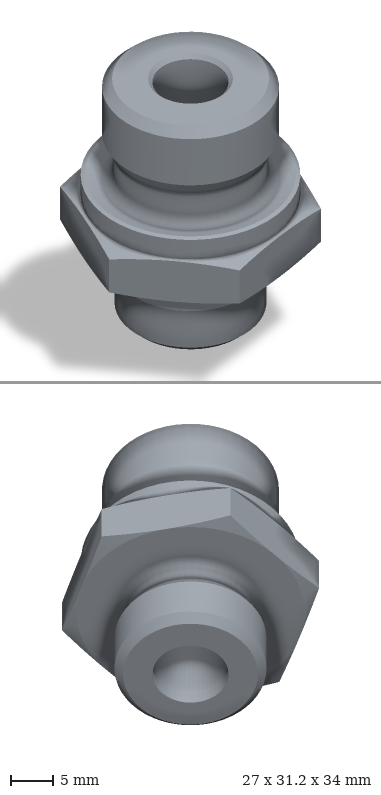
import cadquery as cq
import math

total_height = 34.0
hex_bottom = 11.0
hex_top = 17.0
collar_top = 20.0

hex_across_flats = 27.0
hex_across_corners = hex_across_flats / math.cos(math.radians(30))
hex_chamfer_angle = 15.0

collar_radius = 26.0 / 2
rim_radius = 25.0 / 2
rim_slope = 15.0

upper_thread_radius = 20.95 / 2
upper_groove_radius = 18.4 / 2
upper_chamfer = 1.2
upper_thread_bottom = 26.0

lower_thread_radius = 18.0 / 2
lower_groove_radius = 15.7 / 2
lower_chamfer = 1.02
lower_thread_top = 6.4

runout_angle = 30.0
runout_blend = 1.0
upper_fillet = 1.33
lower_fillet = 1.0

bore_radius = 9.0 / 2
bore_chamfer = 0.5


def runout_length(thread_radius, groove_radius):
    """Axial length of the cone between a thread and its groove."""
    return (thread_radius - groove_radius) / math.tan(math.radians(runout_angle))


def edge_circle(radius, z):
    """Selector for the circular edge of the given radius at height z."""
    margin = 0.05
    reach = radius + margin
    return cq.selectors.BoxSelector(
        (-reach, -reach, z - margin), (reach, reach, z + margin), boundingbox=True
    )


def make_turned_body():
    """Revolve both threaded ends and the collar as one solid profile."""
    lower_cone_top = lower_thread_top + runout_length(lower_thread_radius, lower_groove_radius)
    upper_cone_bottom = upper_thread_bottom - runout_length(upper_thread_radius, upper_groove_radius)
    slope = math.tan(math.radians(rim_slope))
    face_inner_radius = upper_groove_radius + upper_fillet
    face_inner_z = collar_top - (rim_radius - face_inner_radius) * slope
    collar_edge_z = collar_top - (collar_radius - rim_radius) * slope
    arc_share = 1 - math.sqrt(0.5)
    lower_middle = lower_fillet * arc_share
    upper_middle = upper_fillet * arc_share
    profile = (
        cq.Workplane("XZ")
        .moveTo(0, 0)
        .lineTo(lower_thread_radius - lower_chamfer, 0)
        .lineTo(lower_thread_radius, lower_chamfer)
        .lineTo(lower_thread_radius, lower_thread_top)
        .lineTo(lower_groove_radius, lower_cone_top)
        .lineTo(lower_groove_radius, hex_bottom - lower_fillet)
        .threePointArc(
            (lower_groove_radius + lower_middle, hex_bottom - lower_middle),
            (lower_groove_radius + lower_fillet, hex_bottom),
        )
        .lineTo(collar_radius, hex_bottom)
        .lineTo(collar_radius, collar_edge_z)
        .lineTo(rim_radius, collar_top)
        .lineTo(face_inner_radius, face_inner_z)
        .threePointArc(
            (upper_groove_radius + upper_middle, face_inner_z + upper_middle),
            (upper_groove_radius, face_inner_z + upper_fillet),
        )
        .lineTo(upper_groove_radius, upper_cone_bottom)
        .lineTo(upper_thread_radius, upper_thread_bottom)
        .lineTo(upper_thread_radius, total_height - upper_chamfer)
        .lineTo(upper_thread_radius - upper_chamfer, total_height)
        .lineTo(0, total_height)
        .close()
    )
    body = profile.revolve(360, (0, 0), (0, 1))
    for radius, z in ((lower_groove_radius, lower_cone_top), (upper_groove_radius, upper_cone_bottom)):
        body = body.edges(edge_circle(radius, z)).fillet(runout_blend)
    return body


def make_hexagon():
    """Hexagonal prism with its corners turned conical at both ends."""
    prism = (
        cq.Workplane("XY")
        .workplane(offset=hex_bottom)
        .polygon(6, hex_across_corners)
        .extrude(hex_top - hex_bottom)
        .rotate((0, 0, 0), (0, 0, 1), 30)
    )
    flat_radius = hex_across_flats / 2
    outer_radius = hex_across_corners / 2 + 0.35
    drop = (outer_radius - flat_radius) * math.tan(math.radians(hex_chamfer_angle))
    envelope = (
        cq.Workplane("XZ")
        .moveTo(0, hex_bottom)
        .lineTo(flat_radius, hex_bottom)
        .lineTo(outer_radius, hex_bottom + drop)
        .lineTo(outer_radius, hex_top - drop)
        .lineTo(flat_radius, hex_top)
        .lineTo(0, hex_top)
        .close()
        .revolve(360, (0, 0), (0, 1))
    )
    return prism.intersect(envelope)


def make_bore():
    """Through bore with a chamfered upper mouth."""
    return (
        cq.Workplane("XZ")
        .moveTo(0, 0)
        .lineTo(bore_radius, 0)
        .lineTo(bore_radius, total_height - bore_chamfer)
        .lineTo(bore_radius + bore_chamfer, total_height)
        .lineTo(0, total_height)
        .close()
        .revolve(360, (0, 0), (0, 1))
    )


result = make_turned_body().union(make_hexagon()).cut(make_bore())